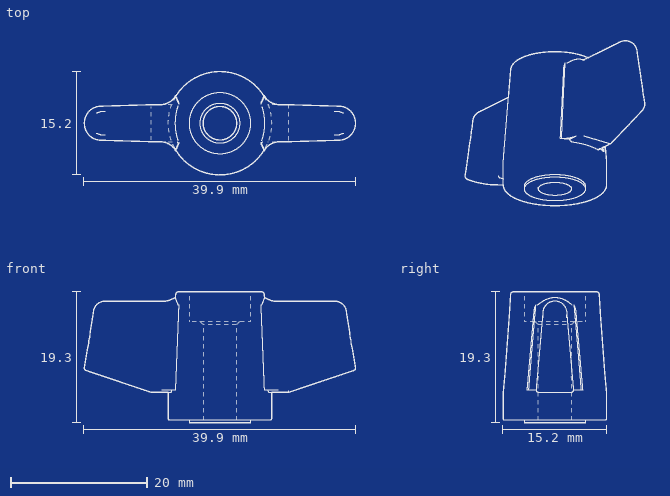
import cadquery as cq
import math

base_radius = 7.6
base_bottom = 0.4
base_top = 4.4
hub_top = 19.3
hub_top_radius = 6.5
hub_top_fillet = 0.48
base_edge_fillet = 0.25

insert_radius = 4.5
recess_depth = 4.4
bore_diameter = 4.9
bore_chamfer = 0.48

wing_span = 39.9
wing_bottom = 4.45
ridge_radius = 1.75
ridge_axis_z = 16.15
ridge_tip_x = 18.63
side_draft = math.radians(5)
tip_draft = math.radians(9.3)
slope_start_x = 10.1
slope_end_z = 7.78
wing_edge_fillet = 0.4

flare_outer_x = 8.6
flare_length = 2.65
flare_embed = 0.05
flare_side_growth = 1.87
flare_top_growth = 1.68
flare_end_angle = math.radians(75)
flare_tilt = math.radians(2.3)
flare_steps = 5



def wing_half_width(z):
    return ridge_radius + (ridge_axis_z - z) * math.tan(side_draft)


def wing_tip_x(z):
    return ridge_tip_x + (ridge_axis_z - z) * math.tan(tip_draft)


def make_hub():
    body = (
        cq.Workplane("XZ")
        .moveTo(0, base_bottom)
        .lineTo(base_radius, base_bottom)
        .lineTo(base_radius, base_top)
        .lineTo(hub_top_radius, hub_top)
        .lineTo(0, hub_top)
        .close()
        .revolve(360, (0, 0), (0, 1))
    )
    body = body.faces(">Z").edges().fillet(hub_top_fillet)
    return body.faces("<Z").edges().fillet(base_edge_fillet)


def wing_outline(z):
    """Horizontal section through both wings: a slot with full-round ends."""
    length = 2 * wing_tip_x(z)
    width = 2 * wing_half_width(z)
    return cq.Workplane("XY", origin=(0, 0, z)).slot2D(length, width).val()


def make_wings():
    outlines = [wing_outline(wing_bottom), wing_outline(ridge_axis_z)]
    plate = cq.Workplane(cq.Solid.makeLoft(outlines, True))
    ridge_end_x = ridge_tip_x - ridge_radius
    ridge = (
        cq.Workplane("YZ", origin=(-ridge_end_x, 0, 0))
        .center(0, ridge_axis_z)
        .circle(ridge_radius)
        .extrude(2 * ridge_end_x)
    )
    slope_end_x = wing_span / 2
    slope = (slope_end_z - wing_bottom) / (slope_end_x - slope_start_x)
    clear_x = wing_span
    clear_z = wing_bottom + slope * (clear_x - slope_start_x)
    for side in (-1, 1):
        underside = (
            cq.Workplane("XZ")
            .moveTo(side * slope_start_x, wing_bottom)
            .lineTo(side * clear_x, clear_z)
            .lineTo(side * clear_x, wing_bottom)
            .close()
            .extrude(base_radius, both=True)
        )
        plate = plate.cut(underside)
    lower_zone = cq.selectors.BoxSelector(
        (-wing_span, -base_radius, 0),
        (wing_span, base_radius, slope_end_z + wing_edge_fillet),
    )
    plate = plate.edges(lower_zone).edges("not |Y").fillet(wing_edge_fillet)
    wings = plate.union(ridge)
    for side in (-1, 1):
        ball = cq.Workplane("XY", origin=(side * ridge_end_x, 0, ridge_axis_z)).sphere(ridge_radius)
        wings = wings.union(ball)
    return wings


def flare_section(angle, side):
    """Arched section of the joint, leaning with the hub and widening along a quarter ellipse."""
    x = flare_outer_x - flare_length * math.sin(angle)
    spread = 1 - math.cos(angle)
    side_growth = flare_side_growth * spread - flare_embed
    top_growth = flare_top_growth * spread - flare_embed
    bottom_z = wing_bottom + wing_edge_fillet
    low = wing_half_width(bottom_z) + side_growth
    high = ridge_radius + side_growth
    top = ridge_radius + top_growth
    bottom = (bottom_z - ridge_axis_z) / math.cos(flare_tilt)
    leaning_plane = cq.Plane(
        origin=(side * x, 0, ridge_axis_z),
        xDir=(0, 1, 0),
        normal=(math.cos(flare_tilt), 0, side * math.sin(flare_tilt)),
    )
    return (
        cq.Workplane(leaning_plane)
        .moveTo(-low, bottom)
        .lineTo(low, bottom)
        .lineTo(high, 0)
        .threePointArc((0, top), (-high, 0))
        .close()
        .val()
    )


def make_flare(side):
    angle_step = flare_end_angle / flare_steps
    sections = [flare_section(i * angle_step, side) for i in range(flare_steps + 1)]
    return cq.Workplane(cq.Solid.makeLoft(sections, False))


def make_bore():
    """Stepped through-hole with a chamfer at the recess floor."""
    floor_z = hub_top - recess_depth
    bore_radius = bore_diameter / 2
    return (
        cq.Workplane("XZ")
        .lineTo(bore_radius, 0)
        .lineTo(bore_radius, floor_z - bore_chamfer)
        .lineTo(bore_radius + bore_chamfer, floor_z)
        .lineTo(insert_radius, floor_z)
        .lineTo(insert_radius, hub_top)
        .lineTo(0, hub_top)
        .close()
        .revolve(360, (0, 0), (0, 1))
    )


insert_foot = cq.Workplane("XY").circle(insert_radius).extrude(base_top)
result = make_hub().union(insert_foot).union(make_wings())
for wing_side in (-1, 1):
    result = result.union(make_flare(wing_side))
result = result.cut(make_bore())